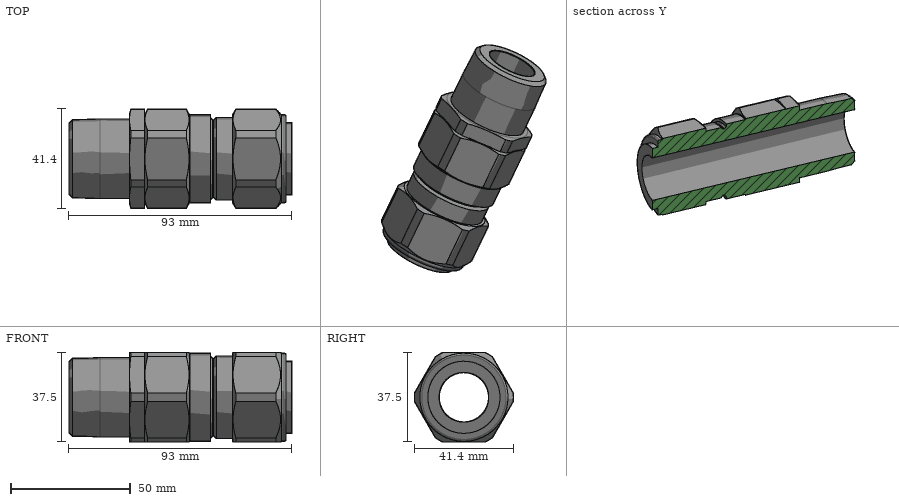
import cadquery as cq
import math


hex_sides = 6
hex_across_flats = 37.5
hex_corner_radius = 20.695
hex_face_radius = 18.5

taper_end = 12.9
flange_start = 25.25
body_hex_start = 31.6
body_hex_end = 50.25
collar_start = 50.5
collar_end = 59.15
neck_start = 60.0
neck_end = 60.4
nut_start = 68.35
nut_hex_end = 88.65
nut_rim_end = 90.6
overall_length = 93.05

thread_radius = 16.65
collar_radius = 18.4
spigot_radius = 17.1
neck_radius = 16.2
sleeve_radius = 17.3
tip_radius = 15.05
bore_radius = 10.25

thread_lead_chamfer = 1.5
bore_chamfer = 0.25
nut_rim_fillet = 0.8
thread_taper = 1 / 16
flange_chamfer_angle = 15
hex_chamfer_angle = 30
nut_back_chamfer_angle = 45


def revolve_profile(points):
    """Solid of revolution about X from (x, radius) points, closed along the axis."""
    first_x = points[0][0]
    last_x = points[-1][0]
    outline = [(first_x, 0)] + points + [(last_x, 0)]
    return cq.Workplane("XY").polyline(outline).close().revolve(360, (0, 0), (1, 0))


def cylinder(start, end, radius):
    return revolve_profile([(start, radius), (end, radius)])


def chamfer_length(face_radius, angle):
    """Axial length of a conical chamfer from face_radius out to the corner radius."""
    return (hex_corner_radius - face_radius) * math.tan(math.radians(angle))


def hexagon(start, end, front, back=None):
    """Hexagonal bar with corners at +Y and -Y and conical ends.

    front and back are (face radius, chamfer angle); without back the end stays square.
    """
    across_corners = hex_across_flats / math.cos(math.pi / hex_sides)
    bar = (
        cq.Workplane("YZ")
        .workplane(offset=start)
        .polygon(hex_sides, across_corners)
        .extrude(end - start)
    )
    envelope = [
        (start, front[0]),
        (start + chamfer_length(*front), hex_corner_radius),
    ]
    if back is None:
        envelope.append((end, hex_corner_radius))
    else:
        envelope.append((end - chamfer_length(*back), hex_corner_radius))
        envelope.append((end, back[0]))
    return bar.intersect(revolve_profile(envelope))


def threaded_end():
    taper_drop = (taper_end - thread_lead_chamfer) * thread_taper / 2
    lead_radius = thread_radius - taper_drop
    return revolve_profile([
        (0, lead_radius - thread_lead_chamfer),
        (thread_lead_chamfer, lead_radius),
        (taper_end, thread_radius),
        (flange_start, thread_radius),
    ])


def body_and_sleeve():
    """Collar with a short lead-in, stepped spigot, neck groove and the sleeve running into the nut."""
    sleeve_chamfer = sleeve_radius - neck_radius
    return revolve_profile([
        (body_hex_end, hex_face_radius),
        (collar_start, collar_radius),
        (collar_end, collar_radius),
        (collar_end, spigot_radius),
        (neck_start, neck_radius),
        (neck_end, neck_radius),
        (neck_end + sleeve_chamfer, sleeve_radius),
        (nut_start, sleeve_radius),
    ])


def nut_rim():
    rim = cylinder(nut_hex_end, nut_rim_end, collar_radius)
    return rim.faces(">X").edges().fillet(nut_rim_fillet)


def bore():
    """Through bore with a chamfered mouth at the threaded end."""
    return revolve_profile([
        (0, bore_radius + bore_chamfer),
        (bore_chamfer, bore_radius),
        (overall_length, bore_radius),
    ])


flange = hexagon(flange_start, body_hex_start, (hex_face_radius, flange_chamfer_angle))
body_hex = hexagon(
    body_hex_start,
    body_hex_end,
    (hex_face_radius, hex_chamfer_angle),
    (hex_face_radius, hex_chamfer_angle),
)
nut_hex = hexagon(
    nut_start,
    nut_hex_end,
    (hex_face_radius, hex_chamfer_angle),
    (collar_radius, nut_back_chamfer_angle),
)

result = (
    threaded_end()
    .union(flange)
    .union(body_hex)
    .union(body_and_sleeve())
    .union(nut_hex)
    .union(nut_rim())
    .union(cylinder(nut_rim_end, overall_length, tip_radius))
    .cut(bore())
)